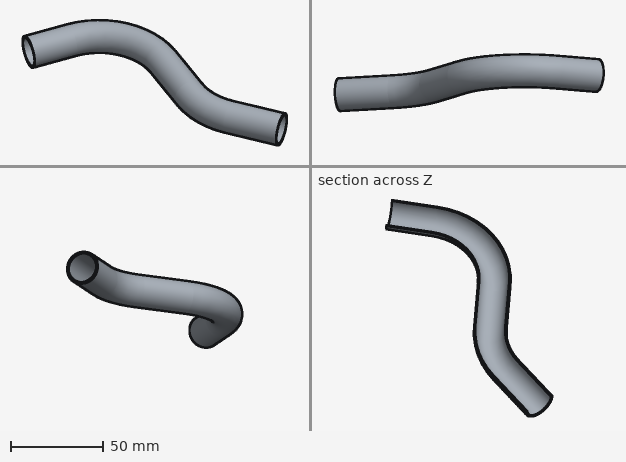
import cadquery as cq
import math

outer_diameter = 18.0
inner_diameter = 16.0

bend_radius = 39.7
inlet_length = 25.0
middle_length = 29.7
outlet_length = 30.2
inlet_angle = 42.0
middle_angle = -41.7
outlet_angle = 0.0


def leg_end(start, angle, length):
    """End point of a straight leg leaving start at the given heading."""
    heading = math.radians(angle)
    return (start[0] + length * math.cos(heading), start[1] + length * math.sin(heading))


def bend_point(start, start_angle, angle):
    """Point on a bend where the heading has turned from start_angle to angle."""
    first = math.radians(start_angle)
    heading = math.radians(angle)
    radius = math.copysign(bend_radius, angle - start_angle)
    return (
        start[0] + radius * (math.sin(heading) - math.sin(first)),
        start[1] - radius * (math.cos(heading) - math.cos(first)),
    )


def add_bend(path, start, start_angle, end_angle):
    """Append a tangent arc to the path and return the path and its end point."""
    middle = bend_point(start, start_angle, (start_angle + end_angle) / 2)
    end = bend_point(start, start_angle, end_angle)
    return path.threePointArc(middle, end), end


inlet_start = (0.0, 0.0)
point = leg_end(inlet_start, inlet_angle, inlet_length)
centreline = cq.Workplane("XY").moveTo(*inlet_start).lineTo(*point)
centreline, point = add_bend(centreline, point, inlet_angle, middle_angle)
point = leg_end(point, middle_angle, middle_length)
centreline = centreline.lineTo(*point)
centreline, point = add_bend(centreline, point, middle_angle, outlet_angle)
point = leg_end(point, outlet_angle, outlet_length)
centreline = centreline.lineTo(*point)

inlet_direction = leg_end((0.0, 0.0), inlet_angle, 1.0)
inlet_plane = cq.Plane(origin=(*inlet_start, 0), xDir=(0, 0, 1), normal=(*inlet_direction, 0))
ring = cq.Workplane(inlet_plane).circle(outer_diameter / 2).circle(inner_diameter / 2)
result = ring.sweep(centreline)